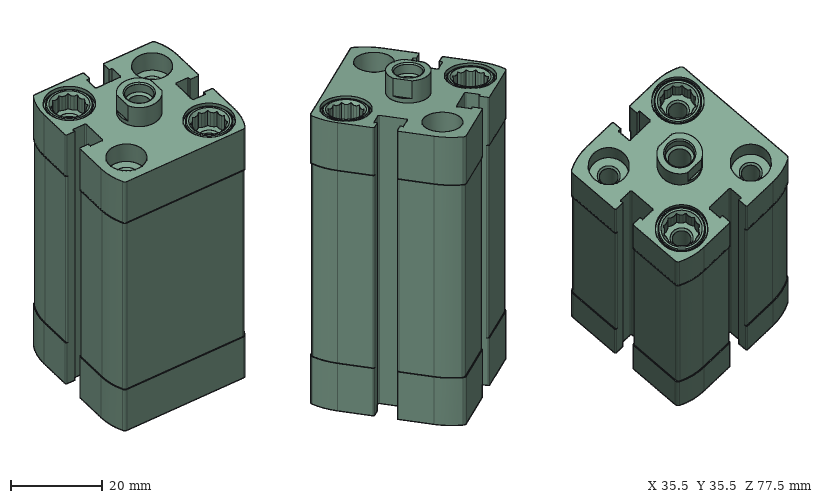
import cadquery as cq
import math

BODY_WIDTH = 35.5
TOTAL_HEIGHT = 77.5
ROD_STICK_OUT = 5.5
BODY_HEIGHT = TOTAL_HEIGHT - ROD_STICK_OUT
TOP_CAP_HEIGHT = 12.0
BOTTOM_CAP_HEIGHT = 11.85
TUBE_INSET = 0.2

CORNER_ARC_RADIUS = 14.0
CORNER_FILLET_RADIUS = 0.9

SLOT_MOUTH_WIDTH = 5.2
SLOT_INNER_WIDTH = 6.75
SLOT_LIP_THICKNESS = 2.4
SLOT_DEPTH = 5.8
SLOT_FLOOR_FILLET = 0.3
CAP_MOUTH_FILLET = 0.3
TUBE_MOUTH_FILLET = 0.4

HOLE_OFFSET = 11.0
HOLE_DIAMETER = 4.1
HOLE_MOUTH_DIAMETER = 5.0
SEAT_DIAMETER = 9.0
SEAT_DEPTH = 5.0

HEAD_RECESS_DIAMETER = 11.5
HEAD_RECESS_DEPTH = 1.0
HEAD_DIAMETER = 10.5
HEAD_TOP_DIAMETER = 10.0
HEAD_SINK = 0.2
SOCKET_MOUTH_DIAMETER = 9.0
SOCKET_TIP_DIAMETER = 7.5
SOCKET_DEPTH = 5.0
SOCKET_LEAD_IN = 0.8
TOOTH_COUNT = 12
TOOTH_TIP_WIDTH = 0.8
SOCKET_ROOT_DIAMETER = 8.1

ROD_DIAMETER = 10.0
ROD_FLAT_WIDTH = 9.0
ROD_FLAT_HEIGHT = 4.4
ROD_DEPTH = TOP_CAP_HEIGHT
ROD_BORE_DIAMETER = 6.4
ROD_BORE_DEPTH = 2.55
ROD_BORE_CHAMFER = 0.3
ROD_DRILL_DIAMETER = 5.0
ROD_DRILL_DEPTH = 13.2
DRILL_POINT_ANGLE = 120.0


def cone_height(large_diameter, small_diameter, point_angle):
    return (large_diameter - small_diameter) / 2 / math.tan(math.radians(point_angle / 2))


def cone(x, y, z_bottom, bottom_diameter, top_diameter, height):
    solid = cq.Solid.makeCone(bottom_diameter / 2, top_diameter / 2, height, cq.Vector(x, y, z_bottom))
    return cq.Workplane(obj=solid)


def drilled(x, y, z_top, diameter, depth):
    return cq.Workplane(origin=(x, y, z_top - depth)).circle(diameter / 2).extrude(depth)


def rounded_prism(inset, z_bottom, height):
    """Square prism with arced corners; its flat faces lie `inset` inside those of the caps."""
    half = BODY_WIDTH / 2 - inset
    arc_radius = CORNER_ARC_RADIUS
    fillet_radius = CORNER_FILLET_RADIUS
    arc_centre_x = HOLE_OFFSET
    arc_centre_y = half - arc_radius
    fillet_x = half - fillet_radius
    reach = arc_radius - fillet_radius
    fillet_y = arc_centre_y + math.sqrt(reach**2 - (fillet_x - arc_centre_x) ** 2)
    end_angle = math.atan2(fillet_y - arc_centre_y, fillet_x - arc_centre_x)

    def on_arc(angle):
        return (arc_centre_x + arc_radius * math.cos(angle), arc_centre_y + arc_radius * math.sin(angle))

    def on_fillet(angle):
        return (fillet_x + fillet_radius * math.cos(angle), fillet_y + fillet_radius * math.sin(angle))

    quarter = (
        cq.Workplane(origin=(0, 0, z_bottom))
        .lineTo(0, half)
        .lineTo(arc_centre_x, half)
        .threePointArc(on_arc((end_angle + math.pi / 2) / 2), on_arc(end_angle))
        .threePointArc(on_fillet(end_angle / 2), on_fillet(0))
        .lineTo(half, 0)
        .close()
        .extrude(height)
    )
    right_half = quarter.union(quarter.mirror("XZ"))
    return right_half.union(right_half.mirror("YZ")).clean()


def t_slot(inset, mouth_fillet, z_bottom, height):
    """Cutter for the slot in the back face, with its mouth edges and floor corners rounded."""
    face = BODY_WIDTH / 2 - inset
    floor = BODY_WIDTH / 2 - SLOT_DEPTH
    lip = BODY_WIDTH / 2 - SLOT_LIP_THICKNESS
    inner = SLOT_INNER_WIDTH / 2
    mouth = SLOT_MOUTH_WIDTH / 2
    floor_bulge = SLOT_FLOOR_FILLET * (1 - math.sqrt(0.5))
    mouth_bulge = mouth_fillet * (1 - math.sqrt(0.5))
    half_slot = (
        cq.Workplane(origin=(0, 0, z_bottom))
        .moveTo(0, floor)
        .lineTo(inner - SLOT_FLOOR_FILLET, floor)
        .threePointArc((inner - floor_bulge, floor + floor_bulge), (inner, floor + SLOT_FLOOR_FILLET))
        .lineTo(inner, lip)
        .lineTo(mouth, lip)
        .lineTo(mouth, face - mouth_fillet)
        .threePointArc((mouth + mouth_bulge, face - mouth_bulge), (mouth + mouth_fillet, face))
        .lineTo(0, face)
        .close()
        .extrude(height)
    )
    return half_slot.union(half_slot.mirror("YZ"))


def housing_section(inset, mouth_fillet, z_bottom, height):
    section = rounded_prism(inset, z_bottom, height)
    slot = t_slot(inset, mouth_fillet, z_bottom, height)
    for turn in (0, 90, 180):
        section = section.cut(slot.rotate((0, 0, 0), (0, 0, 1), turn))
    return section


def corner_hole(x, y, floor_z):
    """Through hole with a conical mouth at the given floor height."""
    mouth_depth = (HOLE_MOUTH_DIAMETER - HOLE_DIAMETER) / 2
    mouth = cone(x, y, floor_z - mouth_depth, HOLE_DIAMETER, HOLE_MOUTH_DIAMETER, mouth_depth)
    return drilled(x, y, BODY_HEIGHT, HOLE_DIAMETER, BODY_HEIGHT).union(mouth)


def plain_seat(x, y):
    seat = drilled(x, y, BODY_HEIGHT, SEAT_DIAMETER, SEAT_DEPTH)
    return seat.union(corner_hole(x, y, BODY_HEIGHT - SEAT_DEPTH))


def toothed_outline():
    """Points of a socket with pointed roots and narrow flat tooth tips."""
    tip_radius = SOCKET_TIP_DIAMETER / 2
    half_tip = math.asin(TOOTH_TIP_WIDTH / 2 / tip_radius)
    half_pitch = math.pi / TOOTH_COUNT
    points = []
    for tooth in range(TOOTH_COUNT):
        middle = half_pitch * (2 * tooth + 1)
        for radius, angle in (
            (tip_radius, middle - half_tip),
            (tip_radius, middle + half_tip),
            (SOCKET_ROOT_DIAMETER / 2, middle + half_pitch),
        ):
            points.append((radius * math.cos(angle), radius * math.sin(angle)))
    return points


def socket_head_recess(x, y):
    """Cutter that leaves a chamfered ring with a toothed socket standing in a round recess."""
    head_z = BODY_HEIGHT - HEAD_SINK
    floor_z = BODY_HEIGHT - HEAD_RECESS_DEPTH
    chamfer = (HEAD_DIAMETER - HEAD_TOP_DIAMETER) / 2
    head = drilled(x, y, head_z - chamfer, HEAD_DIAMETER, head_z - chamfer - floor_z)
    head = head.union(cone(x, y, head_z - chamfer, HEAD_DIAMETER, HEAD_TOP_DIAMETER, chamfer))
    recess = drilled(x, y, BODY_HEIGHT, HEAD_RECESS_DIAMETER, HEAD_RECESS_DEPTH).cut(head)

    socket_floor = BODY_HEIGHT - SOCKET_DEPTH
    socket = (
        cq.Workplane(origin=(x, y, socket_floor))
        .polyline(toothed_outline())
        .close()
        .extrude(head_z - socket_floor)
    )
    lead_in = cone(
        x, y, head_z - SOCKET_LEAD_IN, SOCKET_TIP_DIAMETER, SOCKET_MOUTH_DIAMETER, SOCKET_LEAD_IN
    )
    return recess.union(socket).union(lead_in).union(corner_hole(x, y, socket_floor))


def make_housing():
    top_cap_z = BODY_HEIGHT - TOP_CAP_HEIGHT
    tube_height = top_cap_z - BOTTOM_CAP_HEIGHT
    bottom_cap = housing_section(0, CAP_MOUTH_FILLET, 0, BOTTOM_CAP_HEIGHT)
    tube = housing_section(TUBE_INSET, TUBE_MOUTH_FILLET, BOTTOM_CAP_HEIGHT, tube_height)
    top_cap = housing_section(0, CAP_MOUTH_FILLET, top_cap_z, TOP_CAP_HEIGHT)
    body = bottom_cap.union(tube).union(top_cap)
    for side in (-1, 1):
        body = body.cut(plain_seat(side * HOLE_OFFSET, -side * HOLE_OFFSET))
        body = body.cut(socket_head_recess(side * HOLE_OFFSET, side * HOLE_OFFSET))
    return body.cut(drilled(0, 0, BODY_HEIGHT, ROD_DIAMETER, ROD_DEPTH))


def rod_bore():
    """Chamfered clearance bore that narrows to a blind drilled hole."""
    mouth_diameter = ROD_BORE_DIAMETER + 2 * ROD_BORE_CHAMFER
    bore_z = TOTAL_HEIGHT - ROD_BORE_DEPTH
    drill_z = TOTAL_HEIGHT - ROD_DRILL_DEPTH
    step = cone_height(ROD_BORE_DIAMETER, ROD_DRILL_DIAMETER, DRILL_POINT_ANGLE)
    point = cone_height(ROD_DRILL_DIAMETER, 0, DRILL_POINT_ANGLE)
    bore = drilled(0, 0, TOTAL_HEIGHT, ROD_BORE_DIAMETER, ROD_BORE_DEPTH)
    bore = bore.union(
        cone(0, 0, TOTAL_HEIGHT - ROD_BORE_CHAMFER, ROD_BORE_DIAMETER, mouth_diameter, ROD_BORE_CHAMFER)
    )
    bore = bore.union(cone(0, 0, bore_z - step, ROD_DRILL_DIAMETER, ROD_BORE_DIAMETER, step))
    bore = bore.union(drilled(0, 0, bore_z, ROD_DRILL_DIAMETER, bore_z - drill_z))
    return bore.union(cone(0, 0, drill_z - point, 0, ROD_DRILL_DIAMETER, point))


def make_piston_rod():
    rod = drilled(0, 0, TOTAL_HEIGHT, ROD_DIAMETER, ROD_STICK_OUT + ROD_DEPTH)
    shoulder_z = TOTAL_HEIGHT - ROD_FLAT_HEIGHT
    flats = (
        cq.Workplane(origin=(0, 0, shoulder_z))
        .rect(2 * ROD_DIAMETER, 2 * ROD_DIAMETER)
        .rect(2 * ROD_DIAMETER, ROD_FLAT_WIDTH)
        .extrude(ROD_FLAT_HEIGHT)
    )
    return rod.cut(flats).cut(rod_bore())


housing = make_housing()
piston_rod = make_piston_rod()
result = cq.Compound.makeCompound([housing.val(), piston_rod.val()])